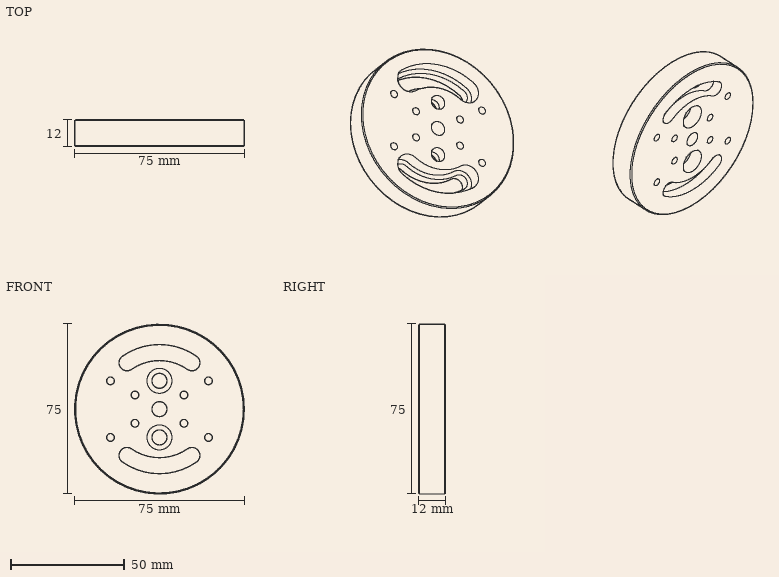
import cadquery as cq
import math

disc_diameter = 75.0
thickness = 12.0
edge_chamfer = 0.5

bore_diameter = 6.5
counterbore_diameter = 11.0
counterbore_depth = 6.5

small_hole_diameter = 3.3
outer_pitch_radius = 25.0
inner_pitch_radius = outer_pitch_radius / 2
small_hole_angle = 30.0

slot_width = 7.0
slot_half_angle = 35.0
slot_recess_width = 11.0
slot_front_depth = 5.0


def polar_point(radius, angle):
    """Point (x, z) at a radius and an angle in degrees from the X axis."""
    radians = math.radians(angle)
    return (radius * math.cos(radians), radius * math.sin(radians))


def round_holes(points, diameter, depth=thickness):
    """Cutters running inward from the front face at the given points."""
    front_plane = cq.Workplane("XZ", origin=(0, -thickness / 2, 0))
    return front_plane.pushPoints(points).circle(diameter / 2).extrude(-depth)


def curved_slot(middle_angle, width, start_depth=0.0):
    """Cutter for a round-ended arc slot, from a depth below the front face out through the back."""
    inner_radius = outer_pitch_radius - width / 2
    outer_radius = outer_pitch_radius + width / 2
    start = middle_angle - slot_half_angle
    end = middle_angle + slot_half_angle
    tip_angle = math.degrees(2 * math.asin(width / 4 / outer_pitch_radius))
    return (
        cq.Workplane("XZ", origin=(0, start_depth - thickness / 2, 0))
        .moveTo(*polar_point(outer_radius, start))
        .threePointArc(polar_point(outer_radius, middle_angle), polar_point(outer_radius, end))
        .threePointArc(polar_point(outer_pitch_radius, end + tip_angle), polar_point(inner_radius, end))
        .threePointArc(polar_point(inner_radius, middle_angle), polar_point(inner_radius, start))
        .threePointArc(polar_point(outer_pitch_radius, start - tip_angle), polar_point(outer_radius, start))
        .close()
        .extrude(start_depth - thickness)
    )


disc = (
    cq.Workplane("XZ", origin=(0, -thickness / 2, 0))
    .circle(disc_diameter / 2)
    .extrude(-thickness)
    .faces("<Y or >Y")
    .edges()
    .chamfer(edge_chamfer)
)

counterbore_points = [(0, inner_pitch_radius), (0, -inner_pitch_radius)]
bore_points = [(0, 0)] + counterbore_points
small_hole_points = [
    polar_point(radius, angle)
    for radius in (inner_pitch_radius, outer_pitch_radius)
    for angle in (
        small_hole_angle,
        180 - small_hole_angle,
        180 + small_hole_angle,
        -small_hole_angle,
    )
]

result = (
    disc.cut(round_holes(bore_points, bore_diameter))
    .cut(round_holes(counterbore_points, counterbore_diameter, counterbore_depth))
    .cut(round_holes(small_hole_points, small_hole_diameter))
)

for middle_angle in (90, -90):
    result = result.cut(curved_slot(middle_angle, slot_width))
    result = result.cut(curved_slot(middle_angle, slot_recess_width, slot_front_depth))